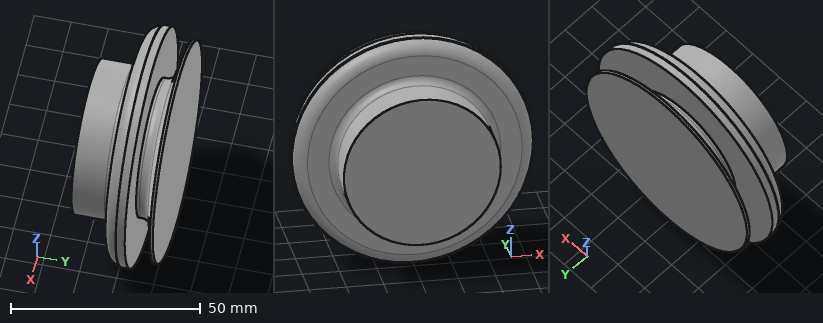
import cadquery as cq
import math


hub_radius = 21.0
flange_front_y = 11.0
hub_fillet = 2.0
flange_radius = 32.25
flange_rounding = 3.5

plate_radius = 32.5
plate_thickness = 2.5

neck_radius = 18.7
neck_fillet = 3.0
cone_angle = math.radians(15)
cone_radius = 30.2
back_y = 24.0
rim_depth = 0.8

plate_front_y = flange_front_y + flange_rounding
plate_back_y = plate_front_y + plate_thickness


def revolve_about_y(profile):
    """Turn a closed (radius, Y) profile into a solid of revolution."""
    return profile.close().revolve(360, (0, 0, 0), (0, 1, 0))


def arc_point(center, radius, angle):
    """Point on a circle, with the angle measured from the radial direction."""
    return (center[0] + radius * math.cos(angle), center[1] + radius * math.sin(angle))


def make_knob():
    fillet_center = (hub_radius + hub_fillet, flange_front_y - hub_fillet)
    rounding_center = (flange_radius - flange_rounding, plate_front_y)
    return revolve_about_y(
        cq.Workplane("XY")
        .lineTo(hub_radius, 0)
        .lineTo(hub_radius, fillet_center[1])
        .threePointArc(
            arc_point(fillet_center, hub_fillet, math.radians(135)),
            (fillet_center[0], flange_front_y),
        )
        .lineTo(rounding_center[0], flange_front_y)
        .threePointArc(
            arc_point(rounding_center, flange_rounding, math.radians(-45)),
            (flange_radius, plate_front_y),
        )
        .lineTo(0, plate_front_y)
    )


def make_plate():
    return revolve_about_y(
        cq.Workplane("XY")
        .moveTo(0, plate_front_y)
        .lineTo(plate_radius, plate_front_y)
        .lineTo(plate_radius, plate_back_y)
        .lineTo(0, plate_back_y)
    )


def make_cup():
    rim_front_y = back_y - rim_depth
    back_radius = cone_radius - rim_depth * math.tan(cone_angle)

    fillet_center_radius = neck_radius + neck_fillet
    cone_y_at_center = rim_front_y - (cone_radius - fillet_center_radius) * math.tan(cone_angle)
    fillet_center = (fillet_center_radius, cone_y_at_center - neck_fillet / math.cos(cone_angle))
    fillet_end_angle = math.pi / 2 + cone_angle
    fillet_middle_angle = (math.pi + fillet_end_angle) / 2

    return revolve_about_y(
        cq.Workplane("XY")
        .moveTo(0, plate_back_y)
        .lineTo(neck_radius, plate_back_y)
        .lineTo(neck_radius, fillet_center[1])
        .threePointArc(
            arc_point(fillet_center, neck_fillet, fillet_middle_angle),
            arc_point(fillet_center, neck_fillet, fillet_end_angle),
        )
        .lineTo(cone_radius, rim_front_y)
        .lineTo(back_radius, back_y)
        .lineTo(0, back_y)
    )


knob = make_knob()
plate = make_plate()
cup = make_cup()

result = cq.Compound.makeCompound([knob.val(), plate.val(), cup.val()])